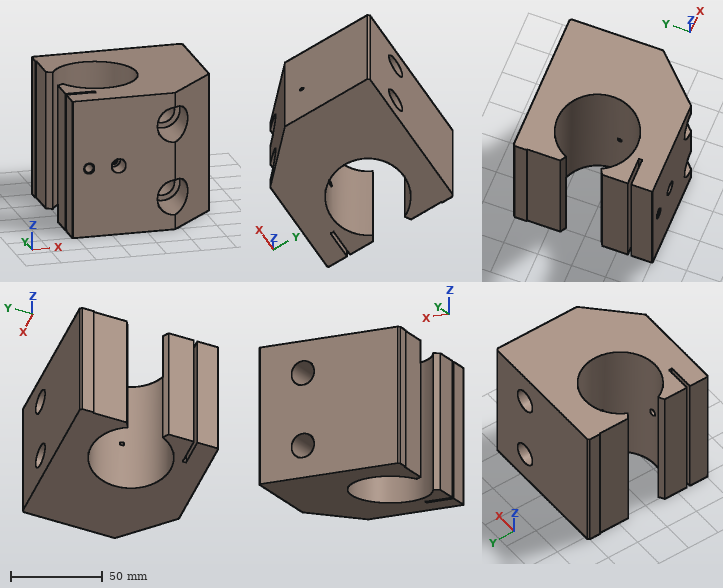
import cadquery as cq
import math

LENGTH_X = 86
LENGTH_Y = 82.0
HEIGHT = 79.0
MID_HEIGHT = HEIGHT / 2

STEP_DEPTH = 0.5
STRIP_WIDTH = 8.0
BACK_CHAMFER = 1.0
FRONT_CHAMFER = 0.5
CORNER_CUT = 27.0

BORE_X = 25.0
BORE_TO_BACK = 40.0
BORE_Y = LENGTH_Y - BORE_TO_BACK
BORE_DIAMETER = 47.0
MOUTH_WIDTH = 24.8
THROAT_WIDTH = 20.6

SLIT_Y = 12.55
SLIT_WIDTH = 2.0
SLIT_END_X = 17.2

MOUNT_X = LENGTH_X - CORNER_CUT
MOUNT_SPACING = 42.0
MOUNT_DIAMETER = 13.85
COUNTERBORE_DIAMETER = 20.0
COUNTERBORE_DEPTH = 25.8

CLAMP_X = 10.1
CLAMP_DIAMETER = 4.9
CLAMP_CHAMFER_DIAMETER = 6

LOCK_X = 27.0
LOCK_COUNTERBORE_DIAMETER = 8.0
LOCK_COUNTERBORE_DEPTH = 11.2
LOCK_DIAMETER = 4.1
LOCK_CHAMFER_DIAMETER = 5.1

OIL_Y = 38.0
OIL_Z = 34.2
OIL_DIAMETER = 2.5


def make_body():
    return (
        cq.Workplane("XY")
        .moveTo(STEP_DEPTH + FRONT_CHAMFER, 0)
        .lineTo(LENGTH_X - CORNER_CUT, 0)
        .lineTo(LENGTH_X, CORNER_CUT)
        .lineTo(LENGTH_X, LENGTH_Y - BACK_CHAMFER)
        .lineTo(LENGTH_X - BACK_CHAMFER, LENGTH_Y)
        .lineTo(BACK_CHAMFER, LENGTH_Y)
        .lineTo(0, LENGTH_Y - BACK_CHAMFER)
        .lineTo(0, LENGTH_Y - STRIP_WIDTH)
        .lineTo(STEP_DEPTH, LENGTH_Y - STRIP_WIDTH)
        .lineTo(STEP_DEPTH, FRONT_CHAMFER)
        .close()
        .extrude(HEIGHT)
    )


def make_bore():
    radius = BORE_DIAMETER / 2
    throat_x = BORE_X - math.sqrt(radius**2 - (THROAT_WIDTH / 2) ** 2)
    mouth = (
        cq.Workplane("XY")
        .moveTo(STEP_DEPTH, BORE_Y - MOUTH_WIDTH / 2)
        .lineTo(throat_x, BORE_Y - THROAT_WIDTH / 2)
        .lineTo(BORE_X, BORE_Y)
        .lineTo(throat_x, BORE_Y + THROAT_WIDTH / 2)
        .lineTo(STEP_DEPTH, BORE_Y + MOUTH_WIDTH / 2)
        .close()
        .extrude(HEIGHT)
    )
    bore = cq.Workplane("XY").center(BORE_X, BORE_Y).circle(radius).extrude(HEIGHT)
    return bore.union(mouth)


def make_slit():
    slit = cq.Workplane("XY").box(SLIT_END_X, SLIT_WIDTH, HEIGHT, centered=False)
    return slit.translate((0, SLIT_Y, 0))


def make_oil_hole():
    return (
        cq.Workplane("YZ", origin=(BORE_X, OIL_Y, OIL_Z))
        .circle(OIL_DIAMETER / 2)
        .extrude(LENGTH_X - BORE_X)
    )


def make_front_hole(x, z, diameter, end_y):
    """Cylinder running in +Y from the -Y face to end_y."""
    return cq.Workplane("XZ", origin=(x, 0, z)).circle(diameter / 2).extrude(-end_y)


def make_countersink(x, start_y, wide_diameter, narrow_diameter):
    """45 degree cone at mid height, narrowing in +Y from start_y."""
    wide = wide_diameter / 2
    narrow = narrow_diameter / 2
    cone = cq.Solid.makeCone(
        wide,
        narrow,
        wide - narrow,
        pnt=cq.Vector(x, start_y, MID_HEIGHT),
        dir=cq.Vector(0, 1, 0),
    )
    return cq.Workplane("XY").add(cone)


def make_mounting_hole(z):
    through = make_front_hole(MOUNT_X, z, MOUNT_DIAMETER, LENGTH_Y)
    return through.union(make_front_hole(MOUNT_X, z, COUNTERBORE_DIAMETER, COUNTERBORE_DEPTH))


def make_clamp_hole():
    hole = make_front_hole(CLAMP_X, MID_HEIGHT, CLAMP_DIAMETER, SLIT_Y)
    return hole.union(make_countersink(CLAMP_X, 0, CLAMP_CHAMFER_DIAMETER, CLAMP_DIAMETER))


def make_lock_hole():
    hole = make_front_hole(LOCK_X, MID_HEIGHT, LOCK_DIAMETER, BORE_Y)
    counterbore = make_front_hole(LOCK_X, MID_HEIGHT, LOCK_COUNTERBORE_DIAMETER, LOCK_COUNTERBORE_DEPTH)
    countersink = make_countersink(LOCK_X, LOCK_COUNTERBORE_DEPTH, LOCK_CHAMFER_DIAMETER, LOCK_DIAMETER)
    return hole.union(counterbore).union(countersink)


result = make_body().cut(make_bore()).cut(make_slit())
for side in (-1, 1):
    result = result.cut(make_mounting_hole(MID_HEIGHT + side * MOUNT_SPACING / 2))
result = result.cut(make_clamp_hole()).cut(make_lock_hole()).cut(make_oil_hole())